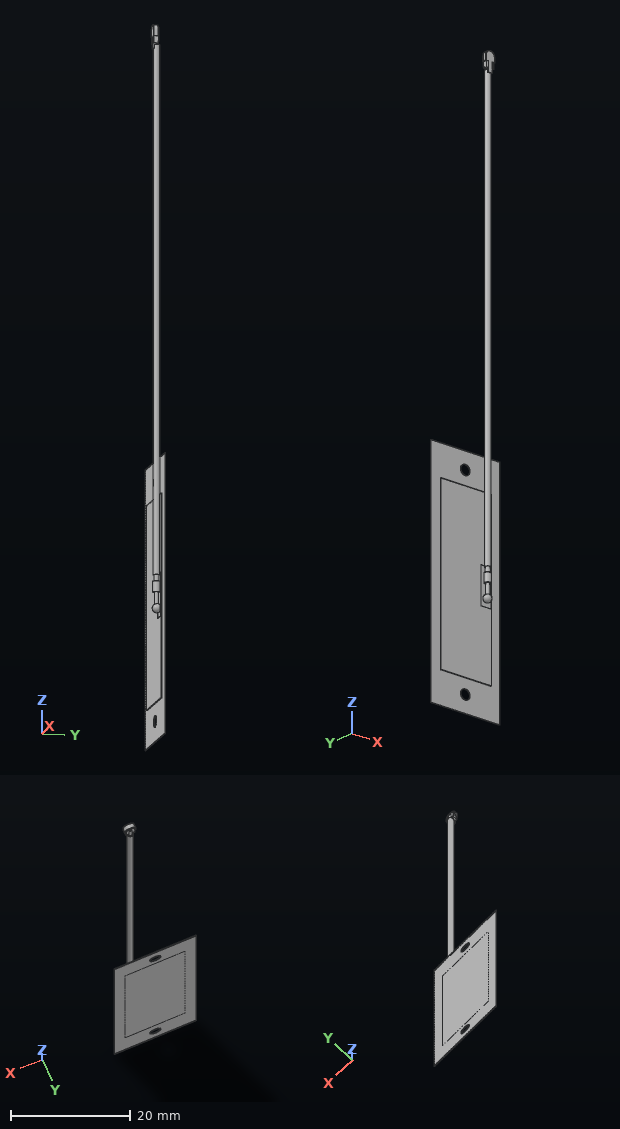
import cadquery as cq

BOARD_WIDTH = 15.0
BOARD_HEIGHT = 48.0
BOARD_THICKNESS = 0.15
HOLE_DIAMETER = 2.0
HOLE_SPACING = 41.0

FILM_RISE = 0.2
PAD_RISE = 0.03
FILM_WIDTH = 11.0
FILM_HEIGHT = 35.0
PAD_WIDTH = 2.2
PAD_TOP = 4.0
PAD_BOTTOM = -3.5

TOP_Z = 97.81
OVERALL_DEPTH = 1.56
FRONT_Y = -OVERALL_DEPTH

CABLE_X = 4.27
JACKET_DIAMETER = 1.13
BRAID_DIAMETER = 0.88
CRIMP_DIAMETER = 1.28
CORE_DIAMETER = 0.72
CABLE_Y = -0.84
JACKET_TOP = 94.4
JACKET_BOTTOM = 3.7
CRIMP_TOP = 2.6
CRIMP_BOTTOM = 0.75

BLOB_DIAMETER = 1.58
BLOB_Z = -2.0
BLOB_Y = FRONT_Y + BLOB_DIAMETER / 2

SHELL_WIDTH = 2.0
SHELL_DEPTH = 0.75
SHELL_BOTTOM = 95.8
LID_WIDTH = 1.8
LID_RISE = 0.08
SLEEVE_DIAMETER = 1.58
SLEEVE_BACK_Y = -0.6
SHELL_FRONT_Y = FRONT_Y + LID_RISE
SHELL_BACK_Y = SHELL_FRONT_Y + SHELL_DEPTH
PLUG_Z = TOP_Z - SHELL_WIDTH / 2

NECK_WIDTH = 1.6
NECK_BOTTOM = 94.6
NECK_BLOCK_BOTTOM = 94.9
STRIP_WIDTH = 0.8
STRIP_BOTTOM = 93.75


def box(x, width, back_y, front_y, bottom_z, top_z):
    """Block centred on x, spanning the given Y and Z limits."""
    height = top_z - bottom_z
    centre = (x, (back_y + front_y) / 2, (bottom_z + top_z) / 2)
    return cq.Workplane("XY").box(width, back_y - front_y, height).translate(centre)


def cable_section(diameter, bottom_z, top_z):
    """Round length of the cable on its own axis."""
    plane = cq.Workplane("XY", origin=(CABLE_X, CABLE_Y, bottom_z))
    return plane.circle(diameter / 2).extrude(top_z - bottom_z)


def plug_plate(width, back_y, front_y):
    """Plate with straight sides and a round top on the plug's mating axis."""
    half_width = width / 2
    bottom = SHELL_BOTTOM - PLUG_Z
    return (
        cq.Workplane("XZ", origin=(CABLE_X, back_y, PLUG_Z))
        .moveTo(-half_width, 0)
        .threePointArc((0, half_width), (half_width, 0))
        .lineTo(half_width, bottom)
        .lineTo(-half_width, bottom)
        .close()
        .extrude(back_y - front_y)
    )


def make_board():
    film_y = -BOARD_THICKNESS - FILM_RISE
    pad_y = film_y - PAD_RISE
    board = box(0, BOARD_WIDTH, 0, -BOARD_THICKNESS, -BOARD_HEIGHT / 2, BOARD_HEIGHT / 2)
    film = box(0, FILM_WIDTH, 0, film_y, -FILM_HEIGHT / 2, FILM_HEIGHT / 2)
    pad = box(CABLE_X, PAD_WIDTH, 0, pad_y, PAD_BOTTOM, PAD_TOP)
    holes = (
        cq.Workplane("XZ")
        .pushPoints([(0, -HOLE_SPACING / 2), (0, HOLE_SPACING / 2)])
        .circle(HOLE_DIAMETER / 2)
        .extrude(BOARD_THICKNESS)
    )
    return board.union(film).union(pad).cut(holes)


def make_blob():
    """Solder ball, kept in front of the board's back face."""
    radius = BLOB_DIAMETER / 2
    ball = cq.Workplane("XY").sphere(radius).translate((CABLE_X, BLOB_Y, BLOB_Z))
    space = box(CABLE_X, BLOB_DIAMETER, 0, FRONT_Y, BLOB_Z - radius, BLOB_Z + radius)
    return ball.intersect(space)


def make_cable():
    jacket = cable_section(JACKET_DIAMETER, JACKET_BOTTOM, JACKET_TOP)
    braid = cable_section(BRAID_DIAMETER, CRIMP_TOP, JACKET_BOTTOM)
    crimp = cable_section(CRIMP_DIAMETER, CRIMP_BOTTOM, CRIMP_TOP)
    lower_core = cable_section(CORE_DIAMETER, BLOB_Z, CRIMP_BOTTOM)
    upper_core = cable_section(CORE_DIAMETER, JACKET_TOP, PLUG_Z)
    return jacket.union(braid).union(crimp).union(lower_core).union(upper_core).union(make_blob())


def make_plug():
    shell = plug_plate(SHELL_WIDTH, SHELL_BACK_Y, SHELL_FRONT_Y)
    lid = plug_plate(LID_WIDTH, SHELL_FRONT_Y, FRONT_Y)
    sleeve = (
        cq.Workplane("XZ", origin=(CABLE_X, SLEEVE_BACK_Y, PLUG_Z))
        .circle(SLEEVE_DIAMETER / 2)
        .extrude(SLEEVE_BACK_Y - SHELL_FRONT_Y)
    )
    neck = box(CABLE_X, NECK_WIDTH, SHELL_BACK_Y, SHELL_FRONT_Y, NECK_BOTTOM, PLUG_Z)
    neck_block = box(CABLE_X, NECK_WIDTH, SLEEVE_BACK_Y, SHELL_FRONT_Y, NECK_BLOCK_BOTTOM, PLUG_Z)
    strip = box(CABLE_X, STRIP_WIDTH, CABLE_Y, FRONT_Y, STRIP_BOTTOM, PLUG_Z)
    return shell.union(lid).union(sleeve).union(neck).union(neck_block).union(strip)


result = make_board().union(make_cable()).union(make_plug())